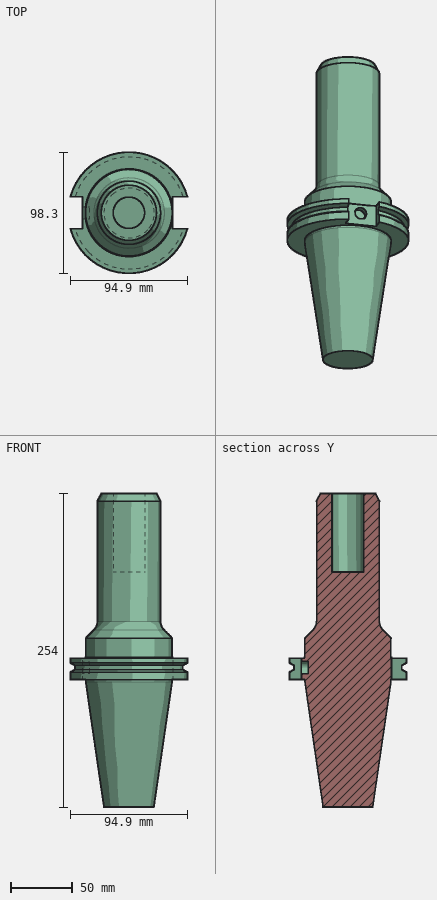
import cadquery as cq
import math

total_height = 254.0
gauge_height = 101.5
gauge_radius = 35.0
taper_ratio = 7 / 24
taper_end_radius = gauge_radius - gauge_height * taper_ratio / 2

flange_diameter = 98.3
flange_radius = flange_diameter / 2
flange_bottom = 103.0
flange_top = 120.6
groove_center = 113.0
groove_depth = 3.5
groove_floor_width = 3.3
groove_flank_angle = 30.0

slot_width = 25.7
deep_slot_distance = 35.3
shallow_slot_distance = 37.5
slot_hole_diameter = 9.7
slot_hole_depth = 5.3

collar_radius = 35.0
relief_radius = 35.5
relief_height = 0.8
collar_top = 137.0

nose_radius = 25.7
nose_fillet_radius = 10.0
nose_tip_radius = 22.4
nose_chamfer_height = 6.4
bore_diameter = 25.5
bore_depth = 63.5


def make_body():
    """Revolve the half section; a 45 degree cone runs into the nose fillet."""
    diagonal = math.sqrt(0.5)
    fillet_start_radius = nose_radius + nose_fillet_radius * (1 - diagonal)
    fillet_start_height = collar_top + collar_radius - fillet_start_radius
    fillet_end_height = fillet_start_height + nose_fillet_radius * diagonal
    mid_angle = math.radians(22.5)
    fillet_mid = (
        nose_radius + nose_fillet_radius * (1 - math.cos(mid_angle)),
        fillet_end_height - nose_fillet_radius * math.sin(mid_angle),
    )

    section = (
        cq.Workplane("XZ")
        .lineTo(taper_end_radius, 0)
        .lineTo(gauge_radius, gauge_height)
        .lineTo(gauge_radius, flange_bottom)
        .lineTo(flange_radius, flange_bottom)
        .lineTo(flange_radius, flange_top)
        .lineTo(relief_radius, flange_top)
        .lineTo(relief_radius, flange_top + relief_height)
        .lineTo(collar_radius, flange_top + relief_height)
        .lineTo(collar_radius, collar_top)
        .lineTo(fillet_start_radius, fillet_start_height)
        .threePointArc(fillet_mid, (nose_radius, fillet_end_height))
        .lineTo(nose_radius, total_height - nose_chamfer_height)
        .lineTo(nose_tip_radius, total_height)
        .lineTo(0, total_height)
        .close()
    )
    return section.revolve(360, (0, 0), (0, 1))


def make_groove():
    """Ring that cuts the V-groove around the flange rim."""
    floor_radius = flange_radius - groove_depth
    floor_half = groove_floor_width / 2
    mouth_half = floor_half + groove_depth * math.tan(math.radians(groove_flank_angle))
    section = cq.Workplane("XZ").polyline([
        (floor_radius, groove_center - floor_half),
        (flange_radius, groove_center - mouth_half),
        (flange_radius, groove_center + mouth_half),
        (floor_radius, groove_center + floor_half),
    ]).close()
    return section.revolve(360, (0, 0), (0, 1))


def make_slot(side, wall_distance):
    """Drive slot cutter; side is +1 for +X and -1 for -X."""
    cut_length = flange_radius
    slot_height = flange_top - flange_bottom
    return (
        cq.Workplane("XY", origin=(side * (wall_distance + cut_length / 2), 0, flange_bottom))
        .box(cut_length, slot_width, slot_height, centered=(True, True, False))
    )


slot_hole = (
    cq.Workplane("YZ", origin=(-shallow_slot_distance, 0, groove_center))
    .circle(slot_hole_diameter / 2)
    .extrude(slot_hole_depth)
)

bore = (
    cq.Workplane("XY", origin=(0, 0, total_height))
    .circle(bore_diameter / 2)
    .extrude(-bore_depth)
)

result = (
    make_body()
    .cut(make_groove())
    .cut(make_slot(1, deep_slot_distance))
    .cut(make_slot(-1, shallow_slot_distance))
    .cut(slot_hole)
    .cut(bore)
)